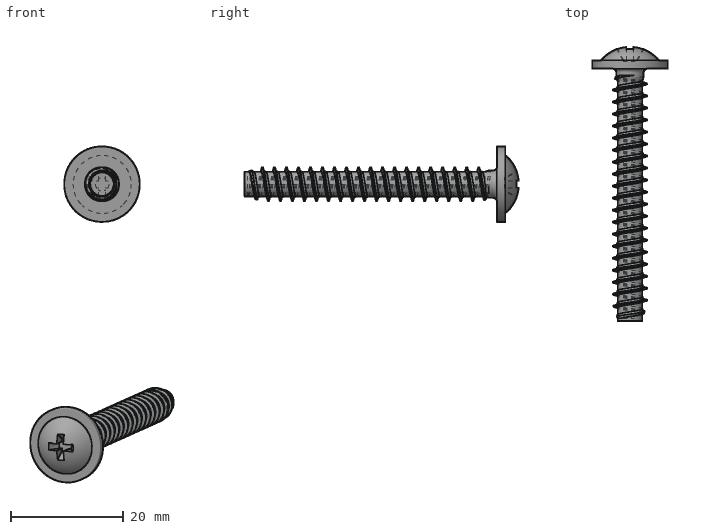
import cadquery as cq
import math


flange_radius = 13.5 / 2
flange_thickness = 1.5
flange_edge_radius = 0.1
dome_radius = 6.7
head_height = 3.88

slot_width = 1.25
recess_rim_radius = 2.6
recess_floor_radius = 1.2
recess_depth = 2.6

shank_length = 45.0
neck_radius = 2.45
neck_fillet = 0.7
neck_length = 1.45
core_radius = 2.215
core_start = 2.2
tip_chamfer = 0.12
tip_dish = 0.15

pitch = 2.14
crest_radius = 3.05
crest_width = 0.06
foot_radius = 2.4
ridge_half_width = 0.2
foot_reach = 0.63
root_overlap = 0.1
crest_depth_on_x = 2.71
crest_clearance = 0.05
trim_radius = crest_radius + crest_clearance
run_out_radius = core_radius - root_overlap / 2
run_in_start = 1.2
run_in_end = 2.9
run_out_start = 41.8
run_out_end = 44.6

corner_radius = slot_width / math.sqrt(2)
corner_drop = dome_radius - math.sqrt(dome_radius**2 - corner_radius**2)
apex_height = head_height + corner_drop


def revolve_about_y(profile):
    return profile.close().revolve(360, (0, 0, 0), (0, 1, 0))


def make_head():
    flange = (
        cq.Workplane("XZ")
        .circle(flange_radius)
        .extrude(-flange_thickness)
        .edges()
        .fillet(flange_edge_radius)
    )
    center_height = apex_height - dome_radius
    ball = cq.Workplane("XY").sphere(dome_radius).translate((0, center_height, 0))
    dome_limit = (
        cq.Workplane("XZ", origin=(0, flange_thickness / 2, 0))
        .circle(flange_radius)
        .extrude(-apex_height)
    )
    return flange.union(ball.intersect(dome_limit))


def make_recess():
    """Four-armed driver recess whose arms narrow toward the floor."""
    floor_height = apex_height - recess_depth
    taper = revolve_about_y(
        cq.Workplane("XY")
        .moveTo(0, floor_height)
        .lineTo(recess_floor_radius, floor_height)
        .lineTo(recess_rim_radius, apex_height)
        .lineTo(0, apex_height)
    )
    arm_length = 2 * recess_rim_radius
    arms = cq.Workplane("XZ").rect(arm_length, slot_width).extrude(-apex_height)
    arms = arms.union(cq.Workplane("XZ").rect(slot_width, arm_length).extrude(-apex_height))
    return taper.intersect(arms)


def make_shank():
    fillet_reach = neck_fillet * (1 - math.sqrt(0.5))
    return revolve_about_y(
        cq.Workplane("XY")
        .moveTo(0, flange_thickness / 2)
        .lineTo(neck_radius + neck_fillet, flange_thickness / 2)
        .lineTo(neck_radius + neck_fillet, 0)
        .threePointArc((neck_radius + fillet_reach, -fillet_reach), (neck_radius, -neck_fillet))
        .lineTo(neck_radius, -neck_length)
        .lineTo(core_radius, -core_start)
        .lineTo(core_radius, -shank_length + tip_chamfer)
        .lineTo(core_radius - tip_chamfer, -shank_length)
        .lineTo(0, -shank_length)
    )


def make_tip_hollow():
    """Ball whose upper cap dishes the end face of the shank."""
    rim_radius = core_radius - tip_chamfer
    ball_radius = (rim_radius**2 + tip_dish**2) / (2 * tip_dish)
    ball_center = tip_dish - shank_length - ball_radius
    return cq.Workplane("XY").sphere(ball_radius).translate((0, ball_center, 0))


def make_thread():
    """Helical ridge trimmed by cones so that it fades in and out.

    The profile is drawn with the head side of the thread toward -Z.
    """
    helix_start = crest_depth_on_x - 2 * pitch
    turns = math.ceil((run_out_end + pitch - helix_start) / pitch)
    root_radius = core_radius - root_overlap
    foot_slope = (foot_reach - ridge_half_width) / (foot_radius - core_radius)
    foot_root = foot_reach + foot_slope * root_overlap
    flank_slope = (ridge_half_width - crest_width / 2) / (crest_radius - foot_radius)
    flank_root = ridge_half_width + flank_slope * (foot_radius - root_radius)
    helix = cq.Wire.makeHelix(pitch, turns * pitch, core_radius)
    profile = (
        cq.Workplane("XZ")
        .moveTo(root_radius, -foot_root)
        .lineTo(foot_radius, -ridge_half_width)
        .lineTo(crest_radius, -crest_width / 2)
        .lineTo(crest_radius, crest_width / 2)
        .lineTo(root_radius, flank_root)
        .close()
    )
    ridge = profile.sweep(cq.Workplane(obj=helix), isFrenet=True)
    ridge = ridge.rotate((0, 0, 0), (1, 0, 0), 90).translate((0, -helix_start, 0))
    envelope = revolve_about_y(
        cq.Workplane("XY")
        .moveTo(0, -run_in_start)
        .lineTo(neck_radius, -run_in_start)
        .lineTo(trim_radius, -run_in_end)
        .lineTo(trim_radius, -run_out_start)
        .lineTo(run_out_radius, -run_out_end)
        .lineTo(0, -run_out_end)
    )
    return ridge.intersect(envelope)


result = (
    make_shank()
    .union(make_head())
    .cut(make_recess())
    .cut(make_tip_hollow())
    .union(make_thread())
)